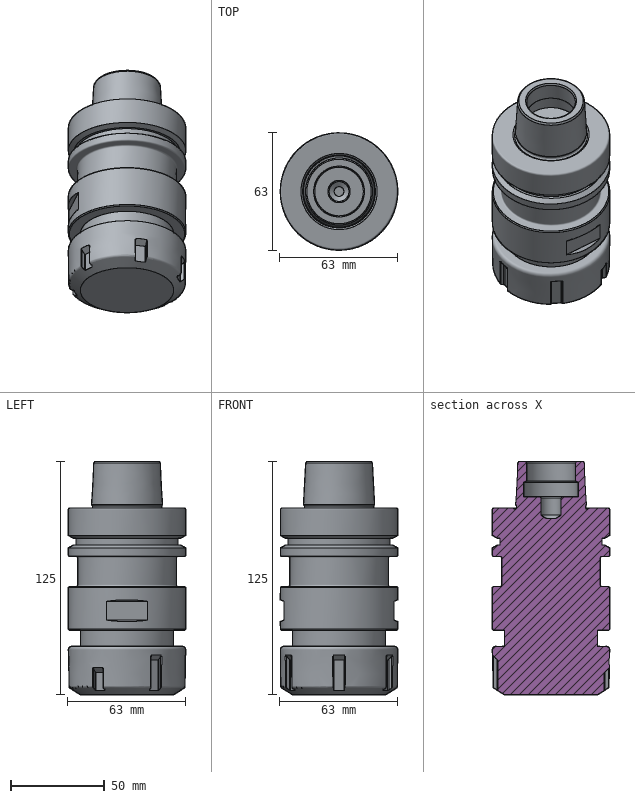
import cadquery as cq
import math


flange_radius = 63.0 / 2
collar_chamfer = 0.6

taper_height = 25.0
taper_base_radius = 19.1
taper_base_z = 1.85
taper_ratio = 9.98
taper_top_chamfer = 0.7
taper_top_chamfer_height = 1.0

neck_radius = 18.6
neck_top_z = 1.1
neck_fillet = 0.9
neck_fillet_start_z = 0.3
relief_outer_radius = 20.4

flange_fillet = 1.0
flange_bottom_z = -26.0
flange_bottom_fillet = 0.8
groove_center_z = -18.05
groove_floor_height = 3.5
groove_radius = 27.4
groove_lip_radius = 28.7
groove_mouth_height = 6.6

body_radius = 26.5
body_fillet = 0.8
collar_top_z = -42.0
collar_bottom_z = -65.5
lower_neck_radius = 25.0

nut_top_z = -74.0
nut_bottom_z = -100.0
nut_top_radius = 31.5
nut_bottom_radius = 31.3
nut_top_fillet = 2.0
nut_dish_radius = 26.0
nut_dish_depth = 0.15
nut_lower_fillet = 1.5
nut_face_radius = 25.0
nut_cone_angle = 31.5

flat_distance = 29.5
flat_center_z = -55.0
flat_height = 10.0
flat_flare = 0.85

bore_radius = 13.0
bore_chamfer = 0.6
bore_chamfer_height = 1.0
bore_step_depth = 10.5
undercut_radius = 14.5
undercut_angle = 60.0
bore_depth = 18.9
center_hole_radius = 5.3
center_hole_chamfer = 0.7
center_hole_depth = 10.0
center_tip_radius = 2.6
center_tip_angle = 59.0

slot_count = 6
first_slot_angle = -90.0
slot_width = 6.0
slot_floor_distance = 28.6
slot_floor_chamfer = 0.4
slot_mouth_width = 7.0
slot_overrun = 1.0
slot_mouth_drop = 0.8
tall_slot_floor_top_z = -81.5
short_slot_floor_top_z = -88.1


def make_body():
    """Solid of revolution holding every outside diameter."""
    taper_tip_radius = taper_base_radius - (taper_height - taper_base_z) / (2 * taper_ratio)
    groove_lip_top = groove_center_z + groove_floor_height / 2
    groove_lip_bottom = groove_center_z - groove_floor_height / 2
    groove_mouth_top = groove_center_z + groove_mouth_height / 2
    groove_mouth_bottom = groove_center_z - groove_mouth_height / 2

    cone_slope = math.radians(nut_cone_angle)
    cone_top_z = nut_bottom_z + (nut_bottom_radius - nut_face_radius) * math.tan(cone_slope)
    nut_tangent = nut_lower_fillet * math.tan((math.pi / 2 - cone_slope) / 2)
    fillet_top_z = cone_top_z + nut_tangent
    fillet_end = (
        nut_bottom_radius - nut_tangent * math.cos(cone_slope),
        cone_top_z - nut_tangent * math.sin(cone_slope),
    )

    profile = (
        cq.Workplane("XZ")
        .moveTo(0, taper_height)
        .lineTo(taper_tip_radius - taper_top_chamfer, taper_height)
        .lineTo(taper_tip_radius, taper_height - taper_top_chamfer_height)
        .lineTo(taper_base_radius, taper_base_z)
        .lineTo(neck_radius, neck_top_z)
        .lineTo(neck_radius, neck_fillet_start_z)
        .radiusArc((neck_radius + neck_fillet, neck_fillet_start_z - neck_fillet), -neck_fillet)
        .lineTo(relief_outer_radius, 0)
        .lineTo(flange_radius - flange_fillet, 0)
        .radiusArc((flange_radius, -flange_fillet), flange_fillet)
        .lineTo(flange_radius, groove_mouth_top)
        .lineTo(groove_lip_radius, groove_lip_top)
        .lineTo(groove_radius, groove_lip_top)
        .lineTo(groove_radius, groove_lip_bottom)
        .lineTo(groove_lip_radius, groove_lip_bottom)
        .lineTo(flange_radius, groove_mouth_bottom)
        .lineTo(flange_radius, flange_bottom_z + flange_bottom_fillet)
        .radiusArc((flange_radius - flange_bottom_fillet, flange_bottom_z), flange_bottom_fillet)
        .lineTo(body_radius + body_fillet, flange_bottom_z)
        .radiusArc((body_radius, flange_bottom_z - body_fillet), -body_fillet)
        .lineTo(body_radius, collar_top_z + body_fillet)
        .radiusArc((body_radius + body_fillet, collar_top_z), -body_fillet)
        .lineTo(flange_radius - collar_chamfer, collar_top_z)
        .lineTo(flange_radius, collar_top_z - collar_chamfer)
        .lineTo(flange_radius, collar_bottom_z + collar_chamfer)
        .lineTo(flange_radius - collar_chamfer, collar_bottom_z)
        .lineTo(lower_neck_radius, collar_bottom_z)
        .lineTo(lower_neck_radius, nut_top_z - nut_dish_depth)
        .lineTo(nut_dish_radius, nut_top_z)
        .lineTo(nut_top_radius - nut_top_fillet, nut_top_z)
        .radiusArc((nut_top_radius, nut_top_z - nut_top_fillet), nut_top_fillet)
        .lineTo(nut_bottom_radius, fillet_top_z)
        .radiusArc(fillet_end, nut_lower_fillet)
        .lineTo(nut_face_radius, nut_bottom_z)
        .lineTo(0, nut_bottom_z)
        .close()
    )
    return profile.revolve(360, (0, 0, 0), (0, 1, 0))


def make_bore():
    """Cutter for the undercut bore and the blind centre hole in its floor."""
    step_z = taper_height - bore_step_depth
    shoulder_length = (undercut_radius - bore_radius) / math.tan(math.radians(undercut_angle))
    floor_z = taper_height - bore_depth
    hole_end_z = floor_z - center_hole_depth
    tip_length = (center_hole_radius - center_tip_radius) / math.tan(math.radians(center_tip_angle))

    profile = (
        cq.Workplane("XZ")
        .moveTo(0, taper_height)
        .lineTo(bore_radius + bore_chamfer, taper_height)
        .lineTo(bore_radius, taper_height - bore_chamfer_height)
        .lineTo(bore_radius, step_z)
        .lineTo(undercut_radius, step_z - shoulder_length)
        .lineTo(undercut_radius, floor_z)
        .lineTo(center_hole_radius + center_hole_chamfer, floor_z)
        .lineTo(center_hole_radius, floor_z - center_hole_chamfer)
        .lineTo(center_hole_radius, hole_end_z)
        .lineTo(center_tip_radius, hole_end_z - tip_length)
        .lineTo(0, hole_end_z - tip_length)
        .close()
    )
    return profile.revolve(360, (0, 0, 0), (0, 1, 0))


def make_flat():
    """Cutter for the wrench flat on the +X side, with flared end walls."""
    half_floor = flat_height / 2
    half_mouth = half_floor + flat_flare
    section = [
        (flat_distance, flat_center_z - half_floor),
        (flange_radius, flat_center_z - half_mouth),
        (flange_radius, flat_center_z + half_mouth),
        (flat_distance, flat_center_z + half_floor),
    ]
    return cq.Workplane("XZ").polyline(section).close().extrude(flange_radius, both=True)


def make_slot(floor_top_z):
    """Cutter for one spanner slot on the +X side; its top slopes outward at 45 degrees."""
    outer_x = nut_top_radius + slot_overrun
    slot_top_z = floor_top_z + nut_top_radius - slot_floor_distance
    side = [
        (slot_floor_distance, nut_bottom_z),
        (outer_x, nut_bottom_z),
        (outer_x, floor_top_z + outer_x - slot_floor_distance),
        (slot_floor_distance, floor_top_z),
    ]
    channel = (
        cq.Workplane("XZ")
        .polyline(side)
        .close()
        .extrude(slot_width / 2, both=True)
        .edges("|Z and <X")
        .chamfer(slot_floor_chamfer)
    )

    surface_x = math.sqrt(nut_top_radius**2 - (slot_mouth_width / 2) ** 2)
    apex_x = surface_x - slot_mouth_width / 2
    half_outer = outer_x - apex_x
    mouth_top_z = slot_top_z - slot_mouth_drop
    inner_x = surface_x - (slot_mouth_width - slot_width) / 2
    mouth = (
        cq.Workplane("XY", origin=(0, 0, nut_bottom_z))
        .moveTo(inner_x, -slot_width / 2)
        .lineTo(outer_x, -half_outer)
        .lineTo(outer_x, half_outer)
        .lineTo(inner_x, slot_width / 2)
        .close()
        .extrude(mouth_top_z - nut_bottom_z)
    )
    return channel.union(mouth)


result = make_body().cut(make_bore())

for flat_angle in (0, 180):
    result = result.cut(make_flat().rotate((0, 0, 0), (0, 0, 1), flat_angle))

for index in range(slot_count):
    angle = first_slot_angle + index * 360 / slot_count
    is_tall = math.sin(math.radians(angle)) < 0
    floor_top_z = tall_slot_floor_top_z if is_tall else short_slot_floor_top_z
    result = result.cut(make_slot(floor_top_z).rotate((0, 0, 0), (0, 0, 1), angle))